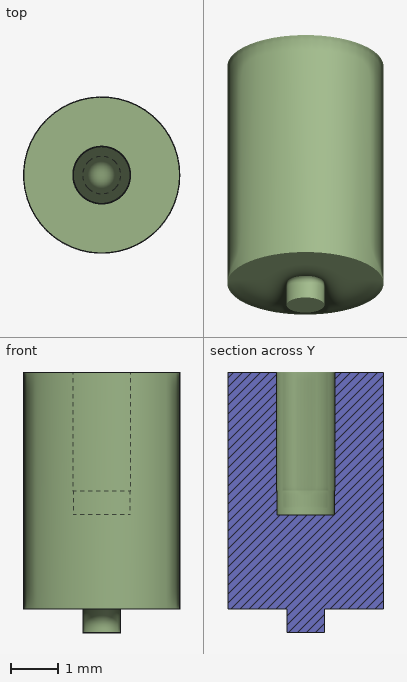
import cadquery as cq

total_height = 5.5
body_diameter = 3.3
pin_diameter = 0.8
pin_length = 0.5
body_height = total_height - pin_length

bore_diameter = 1.22
bore_depth = 2.5
seat_diameter = 1.2
seat_depth = 0.5

body = cq.Workplane("XY").circle(body_diameter / 2).extrude(body_height)

pin = cq.Workplane("XY").circle(pin_diameter / 2).extrude(-pin_length)

top_plane = cq.Workplane("XY").workplane(offset=body_height)
bore = top_plane.circle(bore_diameter / 2).extrude(-bore_depth)
seat = top_plane.circle(seat_diameter / 2).extrude(-(bore_depth + seat_depth))

result = body.union(pin).cut(bore).cut(seat)